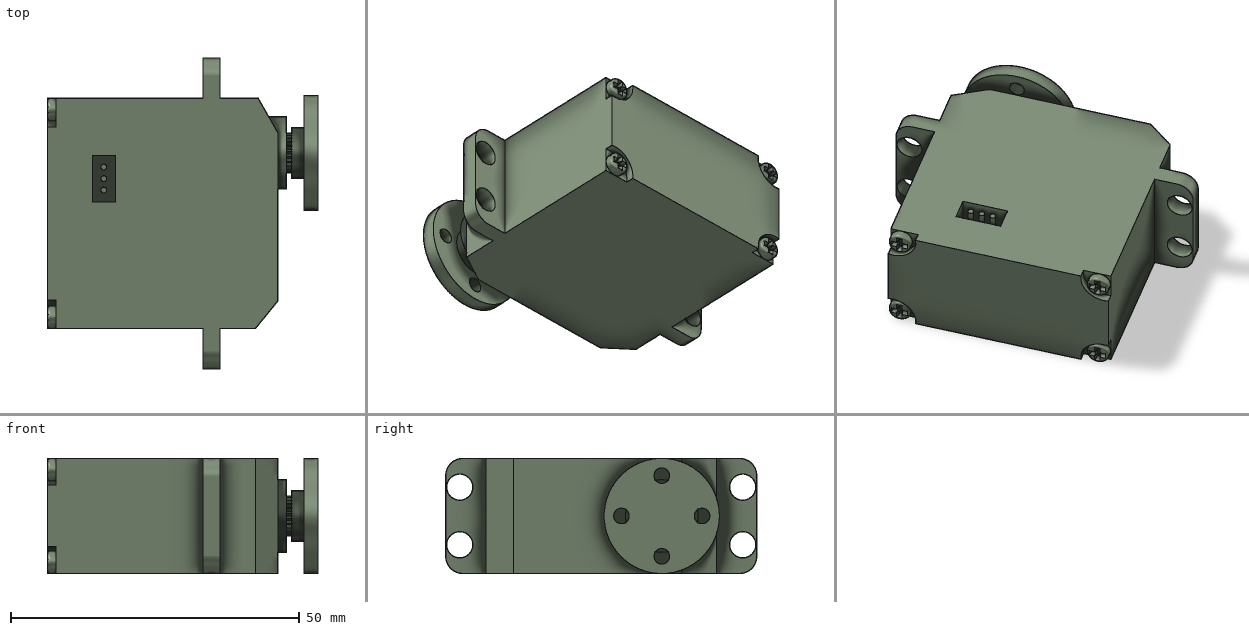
import cadquery as cq
import math


case_depth = 40.0
case_length = 40.0
case_width = 20.0
half_length = case_length / 2
half_width = case_width / 2

shaft_corner_x = 3.4
shaft_corner_y = 6.0
plain_corner_x = 3.9
plain_corner_y = 4.8

flange_x = 27.0
flange_thickness = 3.0
flange_length = 54.0
flange_corner_radius = 3.0
flange_hole_diameter = 4.5
flange_hole_pitch_y = 49.1
flange_hole_pitch_z = 10.0

recess_depth = 1.5
recess_radius = 4.2
recess_inset_y = 0.8
recess_inset_z = 0.5
screw_inset = 2.0
screw_head_diameter = 3.9
screw_rounding_radial = 0.5
screw_rounding_axial = 0.7
cross_length = 3.0
cross_slot_width = 1.0
cross_depth = 1.0
cross_taper = 18.0

pocket_size_x = 4.0
pocket_size_y = 8.1
pocket_depth = 6.0
pocket_x = 9.8
pocket_y = 6.05
pin_count = 3
pin_pitch = 2.0
pin_diameter = 1.0

axis_y = 10.5
boss_diameter = 12.6
boss_height = 1.5
boss_root_depth = shaft_corner_x
tooth_count = 25
spline_tip_radius = 3.5
spline_root_radius = 3.1

horn_front_x = 47.0
horn_disc_thickness = 2.5
horn_disc_diameter = case_width
horn_hub_diameter = 8.8
horn_hub_height = 2.1
horn_hole_count = 4
horn_hole_diameter = 2.7
horn_hole_circle_radius = 7.0

boss_front_x = case_depth + boss_height
horn_disc_x = horn_front_x - horn_disc_thickness
horn_hub_x = horn_disc_x - horn_hub_height
corner_sides = [(side_y, side_z) for side_y in (-1, 1) for side_z in (-1, 1)]


def plane_across_x(x, y=0.0):
    """Workplane at the given X, facing +X, with local axes along Y and Z."""
    return cq.Workplane("YZ", origin=(x, y, 0))


def make_case_block():
    outline = [
        (0, -half_length),
        (case_depth - plain_corner_x, -half_length),
        (case_depth, -half_length + plain_corner_y),
        (case_depth, half_length - shaft_corner_y),
        (case_depth - shaft_corner_x, half_length),
        (0, half_length),
    ]
    return cq.Workplane("XY").polyline(outline).close().extrude(half_width, both=True)


def make_flange():
    return (
        plane_across_x(flange_x)
        .rect(flange_length, case_width)
        .extrude(flange_thickness)
        .edges("|X")
        .fillet(flange_corner_radius)
    )


def make_flange_holes():
    return (
        plane_across_x(flange_x)
        .rect(flange_hole_pitch_y, flange_hole_pitch_z, forConstruction=True)
        .vertices()
        .circle(flange_hole_diameter / 2)
        .extrude(flange_thickness)
    )


def make_corner_recess(side_y, side_z):
    return (
        plane_across_x(0)
        .center(side_y * (half_length - recess_inset_y), side_z * (half_width - recess_inset_z))
        .circle(recess_radius)
        .extrude(recess_depth)
    )


def make_screw_head(side_y, side_z):
    """Rounded head standing on the recess floor, with a tapered cross slot."""
    centre_y = side_y * (half_length - screw_inset)
    centre_z = side_z * (half_width - screw_inset)
    head_radius = screw_head_diameter / 2
    flat_radius = head_radius - screw_rounding_radial
    diagonal = math.sqrt(0.5)
    arc_middle = (
        screw_rounding_axial * (1 - diagonal),
        flat_radius + screw_rounding_radial * diagonal,
    )
    head = (
        cq.Workplane("XY", origin=(0, centre_y, centre_z))
        .lineTo(0, flat_radius)
        .threePointArc(arc_middle, (screw_rounding_axial, head_radius))
        .lineTo(recess_depth, head_radius)
        .lineTo(recess_depth, 0)
        .close()
        .revolve(360, (0, 0, 0), (1, 0, 0))
    )
    arm = cross_length / 2
    slot = cross_slot_width / 2
    cross_outline = [
        (arm, slot), (slot, slot), (slot, arm),
        (-slot, arm), (-slot, slot), (-arm, slot),
        (-arm, -slot), (-slot, -slot), (-slot, -arm),
        (slot, -arm), (slot, -slot), (arm, -slot),
    ]
    cross = (
        plane_across_x(0)
        .center(centre_y, centre_z)
        .polyline(cross_outline)
        .close()
        .extrude(cross_depth, taper=cross_taper)
    )
    return head.cut(cross)


def make_connector_pocket():
    return (
        cq.Workplane("XY", origin=(pocket_x, pocket_y, half_width))
        .rect(pocket_size_x, pocket_size_y)
        .extrude(-pocket_depth)
    )


def make_connector_pins():
    """Row of pins along Y, rising from the pocket floor to the level of the case top."""
    return (
        cq.Workplane("XY", origin=(pocket_x, pocket_y, half_width - pocket_depth))
        .rarray(1, pin_pitch, 1, pin_count)
        .circle(pin_diameter / 2)
        .extrude(pocket_depth)
    )


def make_boss():
    return (
        plane_across_x(case_depth - boss_root_depth, axis_y)
        .circle(boss_diameter / 2)
        .extrude(boss_root_depth + boss_height)
    )


def make_spline(start_x, end_x):
    """Toothed shaft with V-shaped teeth; the horn socket has the same shape."""
    half_pitch = math.pi / tooth_count
    points = []
    for i in range(2 * tooth_count):
        radius = spline_tip_radius if i % 2 == 0 else spline_root_radius
        angle = i * half_pitch
        points.append((radius * math.cos(angle), radius * math.sin(angle)))
    return plane_across_x(start_x, axis_y).polyline(points).close().extrude(end_x - start_x)


def make_servo():
    servo = make_case_block().union(make_flange()).cut(make_flange_holes())
    for side_y, side_z in corner_sides:
        servo = servo.cut(make_corner_recess(side_y, side_z))
        servo = servo.union(make_screw_head(side_y, side_z))
    servo = servo.cut(make_connector_pocket()).union(make_connector_pins())
    return servo.union(make_boss()).union(make_spline(boss_front_x, horn_disc_x))


def make_horn():
    """Round horn whose hub fits over the spline, which ends at the disc."""
    disc = (
        plane_across_x(horn_disc_x, axis_y)
        .circle(horn_disc_diameter / 2)
        .extrude(horn_disc_thickness)
    )
    hub = (
        plane_across_x(horn_hub_x, axis_y)
        .circle(horn_hub_diameter / 2)
        .extrude(horn_hub_height)
    )
    holes = (
        plane_across_x(horn_disc_x, axis_y)
        .polarArray(horn_hole_circle_radius, 0, 360, horn_hole_count)
        .circle(horn_hole_diameter / 2)
        .extrude(horn_disc_thickness)
    )
    socket = make_spline(horn_hub_x, horn_disc_x)
    return disc.union(hub).cut(holes).cut(socket)


servo = make_servo()
horn = make_horn()

result = cq.Compound.makeCompound([servo.val(), horn.val()])